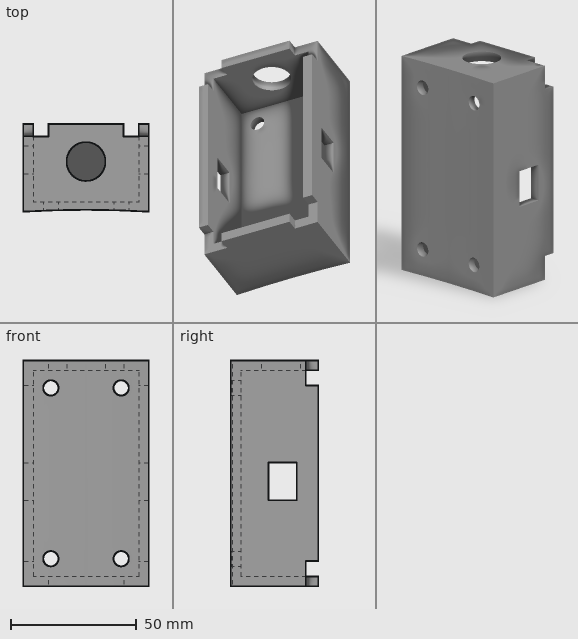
import cadquery as cq

WIDTH = 50.0
DEPTH = 35.0
HEIGHT = 90.0
SIDE_WALL = 4.0
FRONT_WALL = 4.0

FRONT_SAG = 0.75

NOTCH_SIDE = 10.0
NOTCH_DEPTH = 5.0

MOUNT_DIAMETER = 6.0
MOUNT_SPACING_X = 28.0
MOUNT_SPACING_Z = 68.0

TOP_HOLE_DIAMETER = 15.5
TOP_HOLE_Y = 20.0

WINDOW_DEPTH = 11.1
WINDOW_HEIGHT = 15.0
WINDOW_FRONT_Y = 15.2
WINDOW_CENTER_Z = -3.2


def make_body():
    """Block whose front face is a shallow concave arc."""
    half_width = WIDTH / 2
    return (
        cq.Workplane("XY")
        .workplane(offset=-HEIGHT / 2)
        .moveTo(-half_width, 0)
        .threePointArc((0, FRONT_SAG), (half_width, 0))
        .lineTo(half_width, DEPTH)
        .lineTo(-half_width, DEPTH)
        .close()
        .extrude(HEIGHT)
    )


def make_cavity():
    """Rectangular pocket that opens through the back."""
    return cq.Workplane("XY").box(
        WIDTH - 2 * SIDE_WALL,
        DEPTH - FRONT_WALL,
        HEIGHT - 2 * SIDE_WALL,
    ).translate((0, (DEPTH + FRONT_WALL) / 2, 0))


def make_corner_notches():
    """Square cuts through the rim at its four corners."""
    return (
        cq.Workplane("XZ", origin=(0, DEPTH, 0))
        .rect(WIDTH - NOTCH_SIDE, HEIGHT - NOTCH_SIDE, forConstruction=True)
        .vertices()
        .rect(NOTCH_SIDE, NOTCH_SIDE)
        .extrude(NOTCH_DEPTH)
    )


def make_mounting_holes():
    """Four cylinders that pass through the front wall."""
    return (
        cq.Workplane("XZ", origin=(0, FRONT_WALL, 0))
        .rect(MOUNT_SPACING_X, MOUNT_SPACING_Z, forConstruction=True)
        .vertices()
        .circle(MOUNT_DIAMETER / 2)
        .extrude(FRONT_WALL)
    )


def make_top_hole():
    """Cylinder that passes through the top wall only."""
    return (
        cq.Workplane("XY", origin=(0, TOP_HOLE_Y, HEIGHT / 2 - SIDE_WALL))
        .circle(TOP_HOLE_DIAMETER / 2)
        .extrude(SIDE_WALL)
    )


def make_side_windows():
    """One bar across the box that opens both side walls."""
    window_center_y = WINDOW_FRONT_Y + WINDOW_DEPTH / 2
    return cq.Workplane("XY").box(WIDTH, WINDOW_DEPTH, WINDOW_HEIGHT).translate(
        (0, window_center_y, WINDOW_CENTER_Z)
    )


result = (
    make_body()
    .cut(make_cavity())
    .cut(make_corner_notches())
    .cut(make_mounting_holes())
    .cut(make_top_hole())
    .cut(make_side_windows())
)